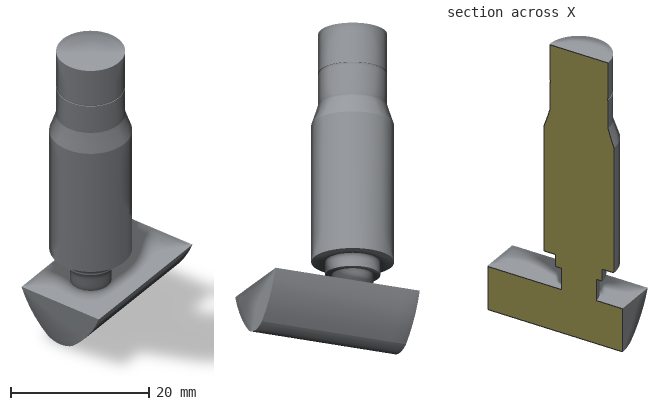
import cadquery as cq

total_height = 47.8
head_width = 13.8
head_length = 23.0
head_height = 7.3

tip_half_width = 2.2
tip_height = 0.6
flank_half_width = 4.2
flank_height = 2.65

shaft_offset_y = -4.0
neck_diameter = 6.0
neck_height = 3.5
collar_diameter = 8.0
collar_height = 2.0
body_diameter = 12.0
body_height = 21.0
taper_height = 3.0
cap_diameter = 10.0
cap_height = 6.0

groove_width = 0.3
groove_depth = 0.1


def make_head():
    """Bar along Y with a flat top, two bulging flanks and a rounded tip."""
    half_width = head_width / 2
    return (
        cq.Workplane("XZ")
        .moveTo(-half_width, head_height)
        .threePointArc((-flank_half_width, flank_height), (-tip_half_width, tip_height))
        .threePointArc((0, 0), (tip_half_width, tip_height))
        .threePointArc((flank_half_width, flank_height), (half_width, head_height))
        .close()
        .extrude(head_length / 2, both=True)
    )


def make_shaft():
    """Stepped round shaft, revolved about its vertical axis."""
    neck_radius = neck_diameter / 2
    collar_radius = collar_diameter / 2
    body_radius = body_diameter / 2
    cap_radius = cap_diameter / 2
    groove_radius = cap_radius - groove_depth

    collar_bottom = head_height + neck_height
    body_bottom = collar_bottom + collar_height
    taper_bottom = body_bottom + body_height
    taper_top = taper_bottom + taper_height
    groove_top = total_height - cap_height
    groove_bottom = groove_top - groove_width

    profile = [
        (0, head_height),
        (neck_radius, head_height),
        (neck_radius, collar_bottom),
        (collar_radius, collar_bottom),
        (collar_radius, body_bottom),
        (body_radius, body_bottom),
        (body_radius, taper_bottom),
        (cap_radius, taper_top),
        (cap_radius, groove_bottom),
        (groove_radius, groove_bottom),
        (groove_radius, groove_top),
        (cap_radius, groove_top),
        (cap_radius, total_height),
        (0, total_height),
    ]
    shaft = cq.Workplane("XZ").polyline(profile).close().revolve(360, (0, 0), (0, 1))
    return shaft.translate((0, shaft_offset_y, 0))


result = make_head().union(make_shaft())